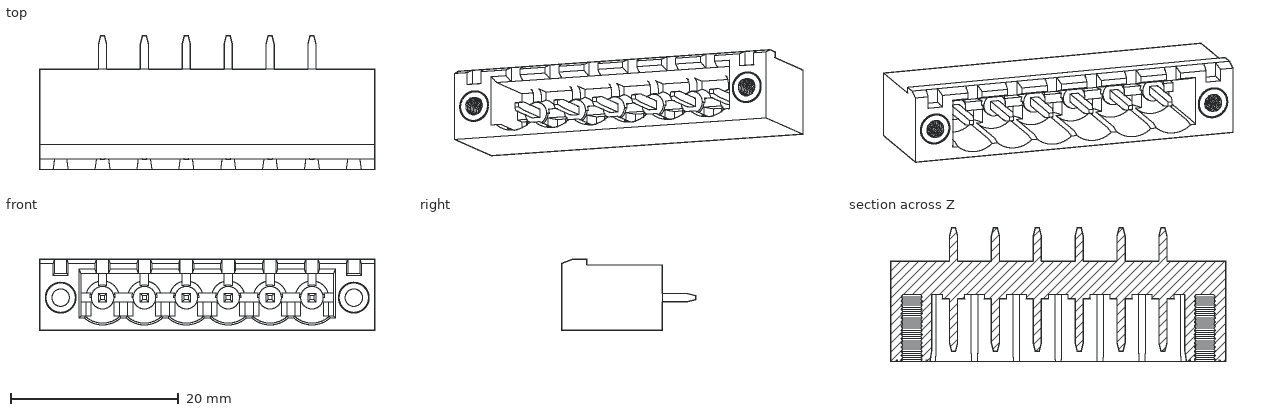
import cadquery as cq


pin_count = 6
pitch = 5.0
end_margin = 2.5
length = (pin_count + 1) * pitch + 2 * end_margin
depth = 12.0
body_height = 7.8
lip_height = 8.5
lip_depth = 3.0
entry_depth = 1.3
lip_bevel_drop = 0.5

axis_z = 3.9
cavity_depth = 9.5
seat_y = 8.0
cavity_half_width = length / 2 - 4.9
cavity_floor_z = 1.7
cavity_ceiling_z = 6.8
side_flare = 0.2
floor_flare = 0.25
ceiling_flare = 0.5
lobe_radius = 3.04
lobe_flare = 0.22

boss_y = 7.5
boss_tip_radius = 1.35
boss_base_radius = 2.0
bar_height = 1.07
pedestal_knee_half_width = 1.6
pedestal_knee_y = 8.8
rib_width = 1.0
rib_fillet = 0.9

notch_front_width = 1.8
notch_back_width = 1.45
notch_front_z = 6.57

pin_size = 1.0
pin_tip_size = 0.5
pin_tip_length = 1.0
pin_front_y = 1.25
pin_back_y = 16.0

insert_radius = 1.84
insert_groove_width = 0.09
insert_groove_depth = 0.2
insert_hole_radius = 1.04
insert_hole_depth = 8.0
thread_pitch = 0.5
thread_depth = 0.2

pin_positions = [(i - (pin_count - 1) / 2) * pitch for i in range(pin_count)]
end_positions = [pin_positions[0] - pitch, pin_positions[-1] + pitch]


def y_plane(y):
    """Sketch plane at depth y: local x is X, local y is Z, extrusion runs toward +Y."""
    return cq.Workplane(cq.Plane(origin=(0, y, 0), xDir=(1, 0, 0), normal=(0, -1, 0)))


def box(x_min, x_max, y_min, y_max, z_min, z_max):
    block = cq.Workplane("XY").box(x_max - x_min, y_max - y_min, z_max - z_min, centered=False)
    return block.translate((x_min, y_min, z_min))


def taper(start, end, y_start, y_end):
    """Loft between two XZ rectangles, each given as (x_min, x_max, z_min, z_max)."""

    def rectangle(limits, y):
        x_min, x_max, z_min, z_max = limits
        corners = [(x_min, z_min), (x_max, z_min), (x_max, z_max), (x_min, z_max)]
        return cq.Wire.makePolygon([cq.Vector(x, y, z) for x, z in corners], close=True)

    wires = [rectangle(start, y_start), rectangle(end, y_end)]
    return cq.Workplane(obj=cq.Solid.makeLoft(wires, True))


def cone(x, radius_start, radius_end, y_start, y_end):
    solid = cq.Solid.makeCone(
        radius_start, radius_end, y_end - y_start, pnt=cq.Vector(x, y_start, axis_z), dir=cq.Vector(0, 1, 0)
    )
    return cq.Workplane(obj=solid)


def cylinder(x, radius, y_start, y_end):
    return y_plane(y_start).center(x, axis_z).circle(radius).extrude(y_start - y_end)


def make_housing():
    profile = [
        (0, 0),
        (depth, 0),
        (depth, body_height),
        (lip_depth, body_height),
        (lip_depth, lip_height),
        (entry_depth, lip_height),
        (0, lip_height - lip_bevel_drop),
    ]
    return cq.Workplane("YZ").polyline(profile).close().extrude(length / 2, both=True)


def make_cavity():
    inner = (-cavity_half_width, cavity_half_width, cavity_floor_z, cavity_ceiling_z)
    mouth_half_width = cavity_half_width + side_flare
    mouth = (
        -mouth_half_width,
        mouth_half_width,
        cavity_floor_z - floor_flare,
        cavity_ceiling_z + ceiling_flare,
    )
    cavity = taper(mouth, inner, 0, entry_depth).union(taper(inner, inner, entry_depth, cavity_depth))
    below_floor = box(-length / 2, length / 2, 0, depth, 0, cavity_floor_z)
    for x in pin_positions:
        flare = cone(x, lobe_radius + lobe_flare, lobe_radius, 0, entry_depth)
        bore = cylinder(x, lobe_radius, entry_depth, seat_y)
        cavity = cavity.union(flare.union(bore).intersect(below_floor))
    return cavity


def make_pedestal(x):
    """Block under a boss, widening toward the back wall in two steps."""
    right_side = [
        (boss_tip_radius, seat_y),
        (pedestal_knee_half_width, pedestal_knee_y),
        (boss_base_radius, cavity_depth),
    ]
    left_side = [(-half_width, y) for half_width, y in reversed(right_side)]
    block = cq.Workplane("XY").polyline(right_side + left_side).close().extrude(axis_z - cavity_floor_z)
    return block.translate((x, 0, cavity_floor_z))


def make_rib(x):
    """Rib from boss to ceiling, with a concave front where it meets the ceiling."""
    outline = (
        cq.Workplane("YZ")
        .moveTo(cavity_depth, axis_z)
        .lineTo(seat_y, axis_z)
        .lineTo(seat_y, cavity_ceiling_z - rib_fillet)
        .radiusArc((seat_y - rib_fillet, cavity_ceiling_z), -rib_fillet)
        .lineTo(cavity_depth, cavity_ceiling_z)
        .close()
    )
    return outline.extrude(rib_width / 2, both=True).translate((x, 0, 0))


def make_seats():
    half_bar = bar_height / 2
    seats = box(
        -cavity_half_width, cavity_half_width, seat_y, cavity_depth, axis_z - half_bar, axis_z + half_bar
    )
    for x in pin_positions:
        boss = cone(x, boss_tip_radius, boss_base_radius, boss_y, cavity_depth)
        upper_half = box(x - pitch / 2, x + pitch / 2, boss_y, cavity_depth, axis_z, cavity_ceiling_z)
        stub = cylinder(x, boss_tip_radius, boss_y, cavity_depth)
        seats = seats.union(boss.intersect(upper_half)).union(stub)
        seats = seats.union(make_pedestal(x)).union(make_rib(x))
    return seats


def make_notch(x):
    front_half = notch_front_width / 2
    back_half = notch_back_width / 2
    front = (x - front_half, x + front_half, notch_front_z, lip_height)
    back = (x - back_half, x + back_half, cavity_ceiling_z, lip_height)
    return taper(front, back, 0, entry_depth)


def make_pin(x):
    def square(size):
        half = size / 2
        return (x - half, x + half, axis_z - half, axis_z + half)

    shank_front = pin_front_y + pin_tip_length
    shank_back = pin_back_y - pin_tip_length
    front_tip = taper(square(pin_tip_size), square(pin_size), pin_front_y, shank_front)
    shank = taper(square(pin_size), square(pin_size), shank_front, shank_back)
    back_tip = taper(square(pin_size), square(pin_tip_size), shank_back, pin_back_y)
    return front_tip.union(shank).union(back_tip)


def make_threaded_hole(x):
    """Blind hole whose thread is simplified to a row of V-shaped ring grooves."""
    root_radius = insert_hole_radius + thread_depth
    outline = [(0, 0), (insert_hole_radius, 0)]
    for i in range(round(insert_hole_depth / thread_pitch)):
        outline.append((root_radius, (i + 0.5) * thread_pitch))
        outline.append((insert_hole_radius, (i + 1) * thread_pitch))
    outline.append((0, insert_hole_depth))
    hole = cq.Workplane("XY").polyline(outline).close().revolve(360, (0, 0, 0), (0, 1, 0))
    return hole.translate((x, 0, axis_z))


def make_insert_cut(x):
    """Threaded hole and the thin groove around the insert's rim."""
    groove = cylinder(x, insert_radius, 0, insert_groove_depth)
    groove = groove.cut(cylinder(x, insert_radius - insert_groove_width, 0, insert_groove_depth))
    return groove.union(make_threaded_hole(x))


result = make_housing().cut(make_cavity()).union(make_seats())
for notch_x in pin_positions + end_positions:
    result = result.cut(make_notch(notch_x))
for insert_x in end_positions:
    result = result.cut(make_insert_cut(insert_x))
for pin_x in pin_positions:
    result = result.union(make_pin(pin_x))